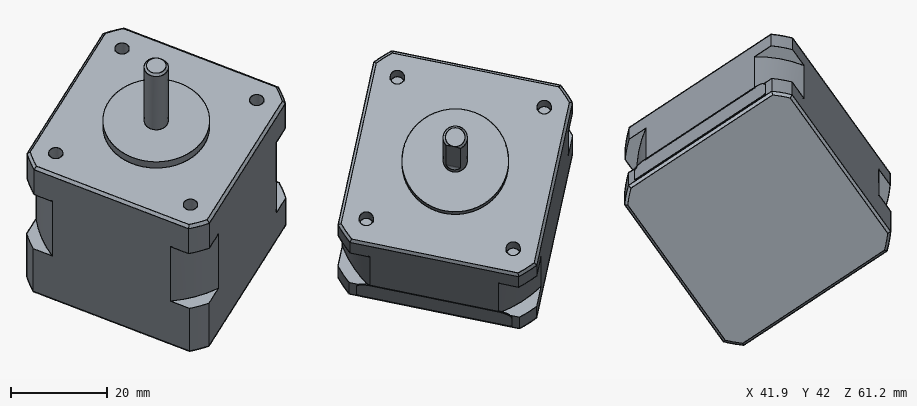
import cadquery as cq
import math


body_width = 41.9
body_height = 41.25
edge_chamfer = 0.6
rear_corner_radius = 27.6
front_corner_radius = 27.5

relief_radius = 24.95
relief_top = 32.5
relief_bottom_front = 14.7
relief_bottom_back = 9.5

pilot_diameter = 22.0
pilot_height = 2.0

hole_spacing = 30.95
hole_diameter = 2.95
hole_depth = 4.9

shaft_diameter = 5.0
shaft_top = 61.2
shaft_chamfer = 0.5
flat_depth = 0.5
flat_bottom = 45.9
flat_runout_radius = 1.1

plate_width = 32.8
plate_bottom = 1.1
plate_top = 10.7
plate_thickness = 0.1
plate_upper_radius = 2.95
plate_lower_radius = 0.8


def cylinder(radius, bottom, top):
    """Solid cylinder on the Z axis."""
    return cq.Workplane("XY").workplane(offset=bottom).circle(radius).extrude(top - bottom)


def square_section(corner_radius, bottom, top):
    """Square block whose corners are turned to a radius about the Z axis."""
    block = (
        cq.Workplane("XY")
        .workplane(offset=bottom)
        .rect(body_width, body_width)
        .extrude(top - bottom)
    )
    return block.intersect(cylinder(corner_radius, bottom, top))


def corner_reliefs(bottom, y_side):
    """Material outside the relief radius on the chosen Y side of the body."""
    height = relief_top - bottom
    half_block = (
        cq.Workplane("XY")
        .workplane(offset=bottom)
        .center(0, y_side * body_width / 2)
        .rect(2 * body_width, body_width)
        .extrude(height)
    )
    return half_block.cut(cylinder(relief_radius, bottom, relief_top))


def make_body():
    rear = square_section(rear_corner_radius, 0, relief_top)
    rear = rear.faces("<Z").chamfer(edge_chamfer)
    front = square_section(front_corner_radius, relief_top, body_height)
    front = front.faces(">Z").chamfer(edge_chamfer)
    body = rear.union(front)
    body = body.cut(corner_reliefs(relief_bottom_front, -1))
    return body.cut(corner_reliefs(relief_bottom_back, 1))


def mounting_holes():
    return (
        cq.Workplane("XY")
        .workplane(offset=body_height - hole_depth)
        .rect(hole_spacing, hole_spacing, forConstruction=True)
        .vertices()
        .circle(hole_diameter / 2)
        .extrude(hole_depth)
    )


def make_shaft():
    """Chamfered shaft with a flat on +Y that runs out in a concave arc."""
    radius = shaft_diameter / 2
    shaft = cylinder(radius, body_height, shaft_top).faces(">Z").chamfer(shaft_chamfer)

    flat_y = radius - flat_depth
    arc_center_y = flat_y + flat_runout_radius
    arc_offset = flat_runout_radius * math.sqrt(0.5)
    flat_cutter = (
        cq.Workplane("YZ")
        .moveTo(flat_y, shaft_top)
        .lineTo(flat_y, flat_bottom)
        .threePointArc(
            (arc_center_y - arc_offset, flat_bottom - arc_offset),
            (arc_center_y, flat_bottom - flat_runout_radius),
        )
        .lineTo(arc_center_y, shaft_top)
        .close()
        .extrude(radius, both=True)
    )
    return shaft.cut(flat_cutter)


def back_plate():
    """Thin plate with rounded corners, set into the +Y face of the body."""
    return (
        cq.Workplane("XZ", origin=(0, body_width / 2 + plate_thickness, 0))
        .center(0, (plate_bottom + plate_top) / 2)
        .rect(plate_width, plate_top - plate_bottom)
        .extrude(2 * plate_thickness)
        .edges("|Y and >Z")
        .fillet(plate_upper_radius)
        .edges("|Y and <Z")
        .fillet(plate_lower_radius)
    )


pilot_boss = cylinder(pilot_diameter / 2, body_height, body_height + pilot_height)

result = (
    make_body()
    .cut(mounting_holes())
    .union(back_plate())
    .union(pilot_boss)
    .union(make_shaft())
)